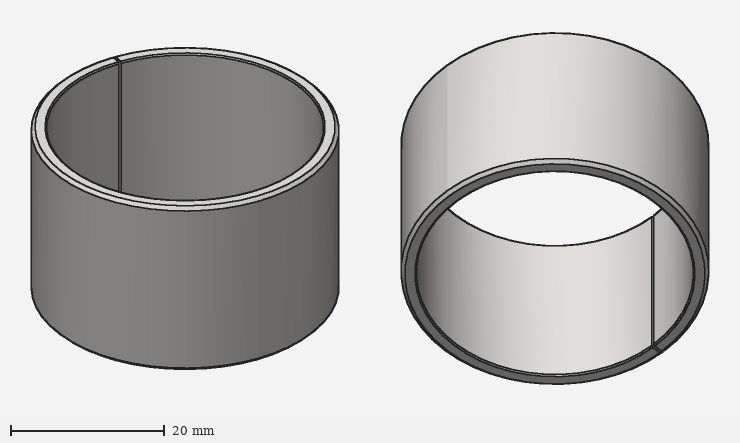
import cadquery as cq
import math

outer_diameter = 40.0
wall_thickness = 2.0
length = 25.0
outer_chamfer = 0.5
inner_chamfer = 0.2
slit_angle = 1.0

outer_radius = outer_diameter / 2
inner_radius = outer_radius - wall_thickness


def make_sleeve():
    """Revolve the wall section, chamfered at all four corners, around Z."""
    wall_section = [
        (inner_radius, inner_chamfer),
        (inner_radius + inner_chamfer, 0),
        (outer_radius - outer_chamfer, 0),
        (outer_radius, outer_chamfer),
        (outer_radius, length - outer_chamfer),
        (outer_radius - outer_chamfer, length),
        (inner_radius + inner_chamfer, length),
        (inner_radius, length - inner_chamfer),
    ]
    return cq.Workplane("XZ").polyline(wall_section).close().revolve(360, (0, 0), (0, 1))


def make_slit():
    """Full-length wedge with radial faces, opening from the -X axis toward +Y."""
    wedge_reach = outer_diameter
    wedge_width = wedge_reach * math.tan(math.radians(slit_angle))
    wedge = [(0, 0), (-wedge_reach, 0), (-wedge_reach, wedge_width)]
    return cq.Workplane("XY").polyline(wedge).close().extrude(length)


result = make_sleeve().cut(make_slit())